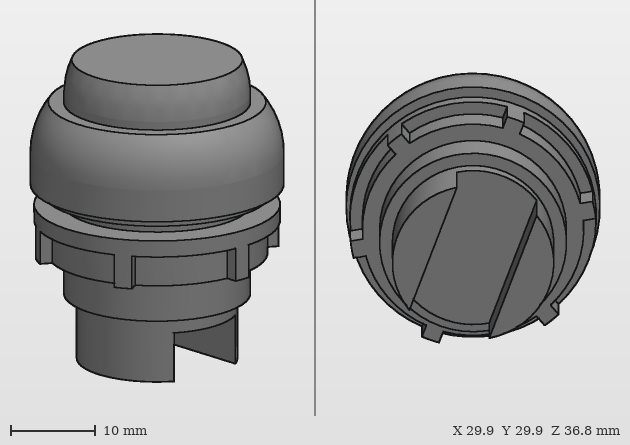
import cadquery as cq
import math


foot_radius = 9.5
barrel_radius = 11.0
lip_radius = 13.5
bezel_radius = 14.95
bezel_top_radius = 12.8
button_radius = barrel_radius
button_top_radius = 10.05

notch_top = 6.0
barrel_bottom = 8.0
lip_bottom = 20.5
bezel_bottom = 21.5
bezel_curve_start = 25.35
bezel_top = 31.57
button_curve_start = 32.55
button_top = 36.8

notch_width = 10.0

flange_radius = 14.5
ring_radius = 13.03
ring_bottom = 13.0
flange_bottom = 17.0
flange_top = 19.0
tab_count = 6
tab_width = 2.15


def tangent_arc_middle(radius, start_z, top_radius, top_z):
    """Middle point of an arc that leaves a vertical wall tangentially and curves inward."""
    inset = radius - top_radius
    rise = top_z - start_z
    arc_radius = (inset**2 + rise**2) / (2 * inset)
    half_sweep = math.asin(rise / arc_radius) / 2
    return (
        radius - arc_radius * (1 - math.cos(half_sweep)),
        start_z + arc_radius * math.sin(half_sweep),
    )


def disc(radius, bottom, top):
    """Solid cylinder on the Z axis between two heights."""
    return cq.Workplane("XY").workplane(offset=bottom).circle(radius).extrude(top - bottom)


def make_head():
    """Feet, barrel, bezel and button as one turned solid with a slot between the feet."""
    bezel_arc = tangent_arc_middle(bezel_radius, bezel_curve_start, bezel_top_radius, bezel_top)
    button_arc = tangent_arc_middle(button_radius, button_curve_start, button_top_radius, button_top)
    turned = (
        cq.Workplane("XZ")
        .lineTo(foot_radius, 0)
        .lineTo(foot_radius, barrel_bottom)
        .lineTo(barrel_radius, barrel_bottom)
        .lineTo(barrel_radius, lip_bottom)
        .lineTo(lip_radius, lip_bottom)
        .lineTo(lip_radius, bezel_bottom)
        .lineTo(bezel_radius, bezel_bottom)
        .lineTo(bezel_radius, bezel_curve_start)
        .threePointArc(bezel_arc, (bezel_top_radius, bezel_top))
        .lineTo(button_radius, bezel_top)
        .lineTo(button_radius, button_curve_start)
        .threePointArc(button_arc, (button_top_radius, button_top))
        .lineTo(0, button_top)
        .close()
        .revolve(360, (0, 0, 0), (0, 1, 0))
    )
    notch = cq.Workplane("XY").box(
        2 * foot_radius, notch_width, notch_top, centered=(True, True, False)
    )
    return turned.cut(notch)


def make_locking_ring():
    """Flanged ring around the barrel, with tabs spaced evenly below the flange."""
    ring = disc(ring_radius, ring_bottom, flange_top)
    ring = ring.union(disc(flange_radius, flange_bottom, flange_top))

    tab_outline = disc(flange_radius, ring_bottom, flange_bottom)
    tab_bar = (
        cq.Workplane("XY")
        .workplane(offset=ring_bottom)
        .rect(2 * flange_radius, tab_width)
        .extrude(flange_bottom - ring_bottom)
        .intersect(tab_outline)
    )
    for index in range(tab_count // 2):
        angle = index * 360 / tab_count
        ring = ring.union(tab_bar.rotate((0, 0, 0), (0, 0, 1), angle))

    return ring.cut(disc(barrel_radius, ring_bottom, flange_top))


head = make_head()
locking_ring = make_locking_ring()

result = cq.Compound.makeCompound([head.solids().val(), locking_ring.solids().val()])